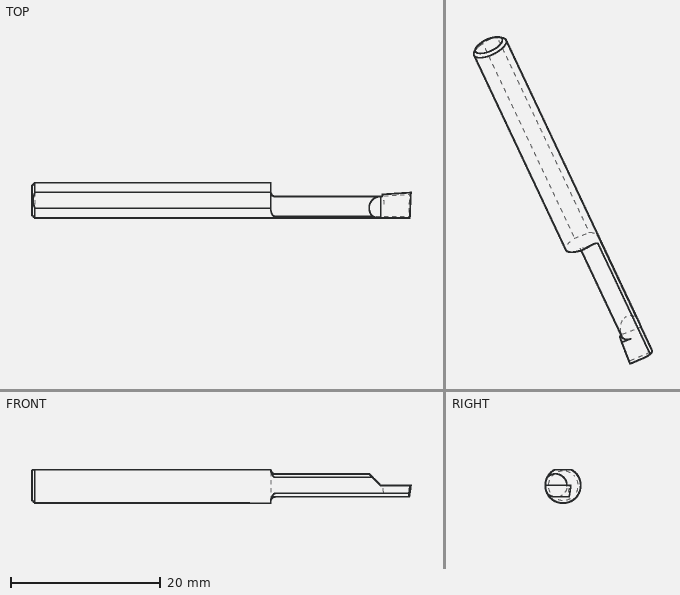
import cadquery as cq
import math

length = 50.8
shank_radius = 2.4
shank_length = 32.0
flat_height = 2.15
chamfer = 0.4

neck_radius = 1.55
neck_y = -1.0
neck_fillet = flat_height - neck_radius

rake_start = 46.75
rake_slope = 45.0
tooth_start = 46.95
tooth_root_y = 0.8
tooth_tip_y = 1.05
tooth_depth = 1.5
end_skew = 0.15
relief_angle = 8.0


def make_shank():
    body = cq.Workplane("YZ").circle(shank_radius).extrude(shank_length)
    body = body.faces("<X").chamfer(chamfer)
    above_flat = cq.Workplane("XY").box(
        shank_length, 2 * shank_radius, shank_radius, centered=(False, True, False)
    ).translate((0, 0, flat_height))
    return body.cut(above_flat)


def make_neck():
    """Revolve the neck with its root fillet, then trim it to the shank outline."""
    root_radius = neck_radius + neck_fillet
    arc_reach = neck_fillet * (1 - math.sqrt(0.5))
    profile = (
        cq.Workplane("XY")
        .moveTo(shank_length, 0)
        .lineTo(shank_length, root_radius)
        .threePointArc(
            (shank_length + arc_reach, neck_radius + arc_reach),
            (shank_length + neck_fillet, neck_radius),
        )
        .lineTo(length, neck_radius)
        .lineTo(length, 0)
        .close()
    )
    neck = profile.revolve(360, (0, 0, 0), (1, 0, 0)).translate((0, neck_y, 0))
    shank_outline = cq.Workplane("YZ").circle(shank_radius).extrude(length)
    return neck.intersect(shank_outline)


def cut_rake_face(neck):
    """Remove the upper half of the tip, with a ramp up to the neck."""
    ramp_height = 2 * neck_radius
    ramp_run = ramp_height / math.tan(math.radians(rake_slope))
    removed = (
        cq.Workplane("XZ")
        .polyline([
            (rake_start, 0),
            (length, 0),
            (length, ramp_height),
            (rake_start - ramp_run, ramp_height),
        ])
        .close()
        .extrude(2 * shank_radius, both=True)
    )
    return neck.cut(removed)


def make_tooth():
    """Side tooth with flanks that lean inwards below the rake face."""
    inner_y = neck_y - tooth_depth * math.tan(math.radians(relief_angle))
    return (
        cq.Workplane("XY")
        .polyline([
            (tooth_start, inner_y),
            (length, inner_y),
            (length, tooth_tip_y),
            (tooth_start, tooth_root_y),
        ])
        .close()
        .extrude(-tooth_depth, taper=relief_angle)
    )


def make_end_relief():
    """Cutter for the skewed end face, growing towards the underside."""
    return (
        cq.Workplane("XY")
        .polyline([
            (length - end_skew, -shank_radius),
            (length, tooth_tip_y),
            (length + shank_radius, tooth_tip_y),
            (length + shank_radius, -shank_radius),
        ])
        .close()
        .extrude(-shank_radius, taper=-relief_angle)
    )


tip = cut_rake_face(make_neck()).union(make_tooth()).cut(make_end_relief())
result = make_shank().union(tip)